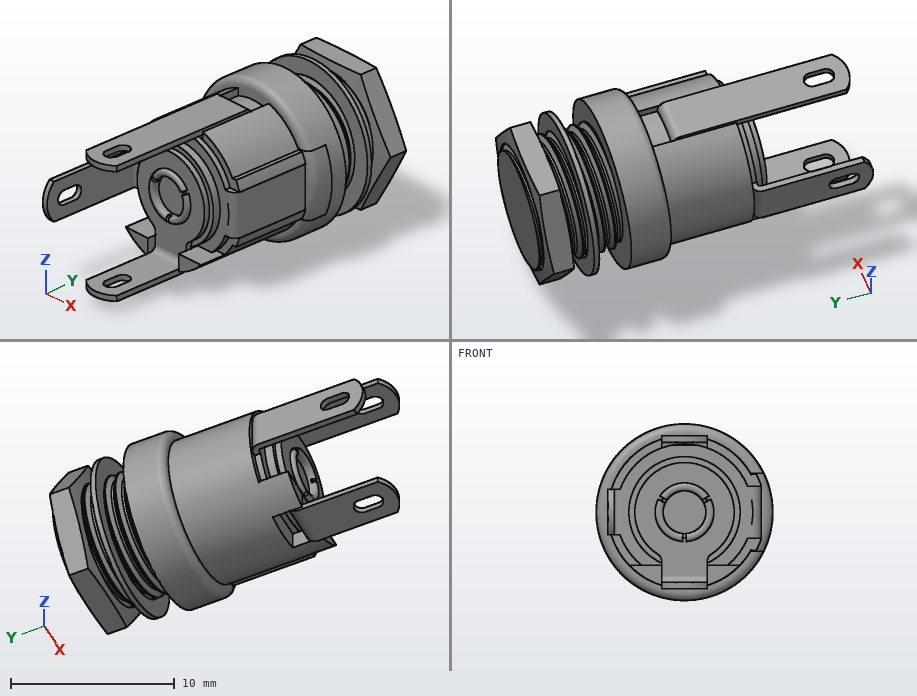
import cadquery as cq
import math


flange_diameter = 10.8
flange_rear = -2.72
flange_fillet = 0.51

thread_end = 5.48
thread_crest_radius = 4.0
thread_root_radius = 3.64
thread_ten_turns = 7.0
thread_crest_width = 0.09
thread_root_gap = 0.1
thread_phase = -0.51
thread_embed = 0.05

nut_rear = 3.5
nut_front = 5.2
nut_chamfer_radius = 3.98
nut_chamfer_depth = 0.2
washer_radius = 5.18
washer_rear = 2.0
washer_thickness = 0.35
thread_clearance = 0.02

body_radius = 4.69
body_rear = -8.22
key_half_width = 2.4
key_front = -1.18
key_rear = -2.74
key_floor = 4.07
key_fillet = 0.6
rib_radius = 4.96
rib_half_width = 2.31
block_top = -3.23
block_rear = -10.2
switch_slot_floor_radius = 4.17

sheet = 0.4
tab_width = 2.78
tab_end = -15.92
tab_nose = 0.58
eyelet_width = 1.0
eyelet_length = 1.93
eyelet_to_end = 0.92
bend_inner = 0.17

arm_half_width = 1.58
sleeve_disc_radius = 4.17
sleeve_disc_top = 4.09
insulator_radius = 3.4
insulator_thickness = 0.55
tip_disc_radius = 3.04
tip_bend_inner = 0.43
tip_neck_fillet = 0.54

switch_front = -4.07
switch_leg_end = 3.2

rivet_lip_outer = 1.8
rivet_lip_inner = 1.3
rivet_lip_height = 0.28
rivet_lip_fillet = 0.21
rivet_bore_depth = 0.21
rivet_slit = 0.21
rivet_slit_angles = (30, 150, 270)

flange_radius = flange_diameter / 2
nut_corner_radius = flange_radius
thread_pitch = thread_ten_turns / 10
sleeve_rear = body_rear - sheet
insulator_rear = sleeve_rear - insulator_thickness
tip_rear = insulator_rear - sheet
tab_inner = body_radius - sheet
rivet_shank_radius = (rivet_lip_outer + rivet_lip_inner) / 2
lip_rear = tip_rear - rivet_lip_height


def cylinder(radius, y_start, y_end):
    """Solid cylinder on the jack axis between two Y positions."""
    direction = cq.Vector(0, math.copysign(1, y_end - y_start), 0)
    solid = cq.Solid.makeCylinder(radius, abs(y_end - y_start), cq.Vector(0, y_start, 0), direction)
    return cq.Workplane(obj=solid)


def block(x_range, y_range, z_range):
    """Box given by its two ends along each axis."""
    sides = [high - low for low, high in (x_range, y_range, z_range)]
    corner = cq.Vector(x_range[0], y_range[0], z_range[0])
    return cq.Workplane(obj=cq.Solid.makeBox(*sides, corner))


def threaded_neck():
    """Core with a right-handed V ridge wound round it, trimmed to the neck's two ends."""
    turns = math.ceil((thread_end - thread_phase) / thread_pitch) + 1
    helix_length = turns * thread_pitch
    helix = cq.Wire.makeHelix(thread_pitch, helix_length, thread_root_radius)
    half_root = (thread_pitch - thread_root_gap) / 2
    half_crest = thread_crest_width / 2
    base = thread_root_radius - thread_embed
    ridge = (
        cq.Workplane("XZ")
        .polyline([
            (base, -half_root),
            (thread_crest_radius, -half_crest),
            (thread_crest_radius, half_crest),
            (base, half_root),
        ])
        .close()
        .sweep(cq.Workplane(obj=helix), isFrenet=True)
        .rotate((0, 0, 0), (1, 0, 0), -90)
        .translate((0, thread_phase, 0))
    )
    core_rear = thread_phase - thread_pitch
    core_front = thread_phase + helix_length + thread_pitch
    core = cylinder(thread_root_radius, core_rear, core_front)
    return core.union(ridge).intersect(cylinder(flange_radius, 0, thread_end))


def key_space(y_rear):
    """Box of the key on the +X side of the flange, from its front to the given Y."""
    return block((key_floor, flange_radius), (y_rear, key_front), (-key_half_width, key_half_width))


def make_bushing():
    flange = cylinder(flange_radius, 0, flange_rear).faces("<Y").edges().fillet(flange_fillet)
    flange = flange.cut(key_space(flange_rear))
    return flange.union(threaded_neck())


def make_nut():
    length = nut_front - nut_rear
    hexagon = (
        cq.Workplane("XZ", origin=(0, nut_front, 0))
        .polygon(6, 2 * nut_corner_radius)
        .extrude(length)
    )
    bevelled = (
        cylinder(nut_corner_radius, nut_rear, nut_front)
        .faces("<Y or >Y")
        .edges()
        .chamfer(nut_chamfer_depth, nut_corner_radius - nut_chamfer_radius)
    )
    bore = cylinder(thread_crest_radius + thread_clearance, nut_rear, nut_front)
    return hexagon.intersect(bevelled).cut(bore)


def make_washer():
    washer_front = washer_rear + washer_thickness
    bore = cylinder(thread_crest_radius + thread_clearance, washer_rear, washer_front)
    return cylinder(washer_radius, washer_rear, washer_front).cut(bore)


def make_rear_body():
    half_tab = tab_width / 2
    body = cylinder(body_radius, flange_rear, body_rear)

    rib = cylinder(rib_radius, flange_rear, body_rear).intersect(
        block((0, rib_radius), (body_rear, flange_rear), (-rib_half_width, rib_half_width))
    )
    rear_block = cylinder(body_radius, body_rear, block_rear).intersect(
        block((-body_radius, body_radius), (block_rear, body_rear), (-body_radius, block_top))
    )
    body = body.union(rib).union(rear_block)

    tip_slot = block((-half_tab, half_tab), (block_rear, body_rear), (-body_radius, block_top))
    arm_slot = block((tab_inner, rib_radius), (body_rear, flange_rear), (-arm_half_width, arm_half_width))
    switch_slot = block((-half_tab, half_tab), (body_rear, flange_rear), (0, body_radius))
    switch_slot = switch_slot.cut(cylinder(switch_slot_floor_radius, flange_rear, body_rear))
    body = body.cut(tip_slot).cut(arm_slot).cut(switch_slot)

    key = cylinder(flange_radius, key_front, key_rear).faces("<Y").edges().fillet(key_fillet)
    key = key.intersect(key_space(key_rear))
    return body.union(key).cut(make_sleeve_arm()).cut(make_switch_contact())


def solder_tab(y_start):
    """Flat tab on the +Z side from y_start back to its rounded, pierced end."""
    half = tab_width / 2
    outline = (
        cq.Workplane("XY", origin=(0, 0, tab_inner))
        .moveTo(-half, y_start)
        .lineTo(-half, tab_end + tab_nose)
        .threePointArc((0, tab_end), (half, tab_end + tab_nose))
        .lineTo(half, y_start)
        .close()
        .extrude(sheet)
    )
    eyelet = (
        cq.Workplane("XY", origin=(0, tab_end + eyelet_to_end + eyelet_length / 2, tab_inner))
        .slot2D(eyelet_length, eyelet_width, 90)
        .extrude(sheet)
    )
    return outline.cut(eyelet)


def bent_strip(leg_front, leg_end, inner_radius, strip_end, width):
    """Strip that rises along a leg in +Z, then bends through 90 degrees towards strip_end.

    The leg's front face is at Y = leg_front and the strip's outer face at Z = body_radius.
    strip_end lies behind or ahead of the leg and sets the direction of the bend.
    """
    side = math.copysign(1, strip_end - leg_front)
    outer_face = leg_front if side < 0 else leg_front - sheet
    inner_face = outer_face + side * sheet
    outer_radius = inner_radius + sheet
    centre_y = inner_face + side * inner_radius
    centre_z = tab_inner - inner_radius
    diagonal = math.sqrt(0.5)
    return (
        cq.Workplane("YZ", origin=(-width / 2, 0, 0))
        .moveTo(outer_face, leg_end)
        .lineTo(outer_face, centre_z)
        .threePointArc(
            (centre_y - side * outer_radius * diagonal, centre_z + outer_radius * diagonal),
            (centre_y, body_radius),
        )
        .lineTo(strip_end, body_radius)
        .lineTo(strip_end, tab_inner)
        .lineTo(centre_y, tab_inner)
        .threePointArc(
            (centre_y - side * inner_radius * diagonal, centre_z + inner_radius * diagonal),
            (inner_face, centre_z),
        )
        .lineTo(inner_face, leg_end)
        .close()
        .extrude(width)
    )


def bent_tab(leg_front, leg_end, inner_radius):
    """Solder tab on the +Z side with its leg towards the axis."""
    tangent = leg_front - sheet - inner_radius
    strip = bent_strip(leg_front, leg_end, inner_radius, tangent - sheet, tab_width)
    return strip.union(solder_tab(tangent))


def turned(shape, angle):
    """Shape on the +Z side turned about the jack axis: 90 brings it to +X."""
    return shape.rotate((0, 0, 0), (0, 1, 0), angle)


def make_switch_contact():
    return bent_tab(switch_front, switch_leg_end, bend_inner)


def make_sleeve_arm():
    """Strip on the +X side that runs forward along the rear body."""
    arm = bent_strip(body_rear, rivet_shank_radius, bend_inner, key_rear, 2 * arm_half_width)
    return turned(arm, 90)


def make_sleeve_contact():
    disc = cylinder(sleeve_disc_radius, body_rear, sleeve_rear).intersect(
        block(
            (-sleeve_disc_radius, sleeve_disc_radius),
            (sleeve_rear, body_rear),
            (block_top, sleeve_disc_top),
        )
    )
    tab = bent_tab(body_rear, rivet_shank_radius, bend_inner)
    contact = disc.union(make_sleeve_arm()).union(turned(tab, -90))
    return contact.cut(cylinder(rivet_shank_radius, body_rear, sleeve_rear))


def make_tip_contact():
    disc = cylinder(tip_disc_radius, insulator_rear, tip_rear)
    tab = bent_tab(insulator_rear, rivet_shank_radius, tip_bend_inner)
    contact = disc.union(turned(tab, 180))
    neck_z = -math.sqrt(tip_disc_radius**2 - (tab_width / 2) ** 2)
    neck_y = (insulator_rear + tip_rear) / 2
    for side in (-1, 1):
        corner = cq.selectors.NearestToPointSelector((side * tab_width / 2, neck_y, neck_z))
        contact = contact.edges("|Y").edges(corner).fillet(tip_neck_fillet)
    return contact.cut(cylinder(rivet_shank_radius, insulator_rear, tip_rear))


def make_insulator():
    half_tab = tab_width / 2
    disc = cylinder(insulator_radius, sleeve_rear, insulator_rear)
    for side in (-1, 1):
        x_range = sorted((side * half_tab, side * insulator_radius))
        disc = disc.cut(block(x_range, (insulator_rear, sleeve_rear), (-insulator_radius, block_top)))
    return disc.cut(cylinder(rivet_shank_radius, sleeve_rear, insulator_rear))


def make_rivet():
    shank = cylinder(rivet_shank_radius, body_rear, tip_rear)
    lip = cylinder(rivet_lip_outer, tip_rear, lip_rear).cut(cylinder(rivet_lip_inner, tip_rear, lip_rear))
    lip = lip.faces("<Y").edges().fillet(rivet_lip_fillet)
    for angle in rivet_slit_angles:
        slit = block((0, rivet_lip_outer), (lip_rear, tip_rear), (-rivet_slit / 2, rivet_slit / 2))
        lip = lip.cut(slit.rotate((0, 0, 0), (0, 1, 0), -angle))
    bore = cylinder(rivet_lip_inner, tip_rear, tip_rear + rivet_bore_depth)
    return shank.union(lip).cut(bore)


bushing = make_bushing()
nut = make_nut()
washer = make_washer()
rear_body = make_rear_body()
switch_contact = make_switch_contact()
sleeve_contact = make_sleeve_contact()
tip_contact = make_tip_contact()
insulator = make_insulator()
rivet = make_rivet()

result = cq.Compound.makeCompound([
    bushing.val(),
    nut.val(),
    washer.val(),
    rear_body.val(),
    switch_contact.val(),
    sleeve_contact.val(),
    tip_contact.val(),
    insulator.val(),
    rivet.val(),
])